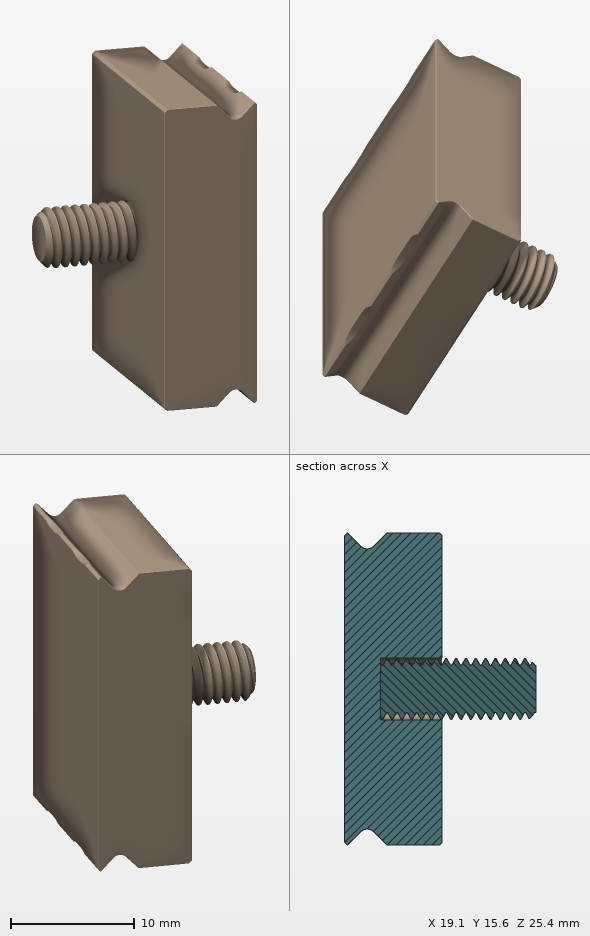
import cadquery as cq
import math

plate_width = 19.05
plate_height = 25.4
plate_thickness = 7.94
edge_chamfer = 0.24
side_chamfer = 0.05

groove_half_width = 1.61
groove_floor_radius = 0.75
groove_center_y = plate_thickness - edge_chamfer - groove_half_width

scallop_spacing = 7.85
scallop_flat = 1.33
scallop_depth = 0.42
scallop_radius = 2.84
scallop_reach = math.sqrt(scallop_radius**2 - (scallop_radius - scallop_depth) ** 2)

thread_diameter = 5.0
thread_pitch = 0.8
thread_depth = 0.55
crest_width = thread_pitch / 8
root_flat = thread_pitch / 8
first_crest = 0.13
stud_length = 7.62
stud_tip_diameter = 3.75
hole_depth = thread_diameter
major_radius = thread_diameter / 2
minor_radius = major_radius - thread_depth
tip_radius = stud_tip_diameter / 2


def v_groove():
    """Groove cutter along X at the top edge, with a rounded floor."""
    floor_z = plate_height / 2 - groove_half_width
    top_z = plate_height / 2 + groove_half_width
    cutter = (
        cq.Workplane("YZ")
        .moveTo(groove_center_y, floor_z)
        .lineTo(groove_center_y + 2 * groove_half_width, top_z)
        .lineTo(groove_center_y - 2 * groove_half_width, top_z)
        .close()
        .extrude(plate_width / 2, both=True)
    )
    return cutter.edges("<Z").fillet(groove_floor_radius)


def scallop(center_x):
    """Scallop cutter along Y through the top ridge, tangent to its flat floor."""
    floor_z = plate_height / 2 - scallop_depth
    flat_end = scallop_flat / 2
    arc_angle = math.asin(scallop_reach / scallop_radius) / 2
    mid_x = flat_end + scallop_radius * math.sin(arc_angle)
    mid_z = floor_z + scallop_radius * (1 - math.cos(arc_angle))
    end_x = flat_end + scallop_reach
    top_z = plate_height / 2
    return (
        cq.Workplane("XZ", origin=(center_x, plate_thickness, 0))
        .moveTo(-flat_end, floor_z)
        .lineTo(flat_end, floor_z)
        .threePointArc((mid_x, mid_z), (end_x, top_z))
        .lineTo(-end_x, top_z)
        .threePointArc((-mid_x, mid_z), (-flat_end, floor_z))
        .close()
        .extrude(plate_thickness - groove_center_y)
    )


def make_plate():
    """Plate with chamfered edges, two grooves, ridge scallops and the blind stud hole."""
    plate = (
        cq.Workplane("XY")
        .box(plate_width, plate_thickness, plate_height)
        .translate((0, plate_thickness / 2, 0))
        .edges("|X")
        .chamfer(edge_chamfer)
    )
    edge_cutters = [v_groove()]
    for side in (-1, 1):
        edge_cutters.append(scallop(side * scallop_spacing / 2))
    for cutter in edge_cutters:
        plate = plate.cut(cutter).cut(cutter.mirror("XY"))
    plate = plate.faces("<X or >X").chamfer(side_chamfer)
    stud_hole = cq.Workplane("XZ").circle(major_radius).extrude(-hole_depth)
    return plate.cut(stud_hole)


def thread_groove():
    """Helical groove cutter around +Z, running past both ends of the thread."""
    crest_clearance = 0.05
    root_half_width = root_flat / 2
    flank_slope = (thread_pitch - crest_width - root_flat) / 2 / thread_depth
    outer_half_width = root_half_width + flank_slope * (thread_depth + crest_clearance)
    outer_radius = major_radius + crest_clearance
    turns_below_face = math.ceil(hole_depth / thread_pitch) + 1.5
    turns_above_face = math.ceil(stud_length / thread_pitch) + 1
    start_z = first_crest - turns_below_face * thread_pitch
    helix_height = (turns_below_face + turns_above_face) * thread_pitch
    helix = cq.Wire.makeHelix(thread_pitch, helix_height, minor_radius)
    return (
        cq.Workplane("XZ")
        .moveTo(minor_radius, -root_half_width)
        .lineTo(outer_radius, -outer_half_width)
        .lineTo(outer_radius, outer_half_width)
        .lineTo(minor_radius, root_half_width)
        .close()
        .sweep(cq.Workplane(helix), isFrenet=True)
        .translate((0, 0, start_z))
    )


def tip_bevel():
    """Ring cutter that leaves a 45 degree cone at the stud tip."""
    clear_radius = major_radius + thread_depth
    bevel_size = clear_radius - tip_radius
    return (
        cq.Workplane("XZ")
        .moveTo(tip_radius, stud_length)
        .lineTo(clear_radius, stud_length)
        .lineTo(clear_radius, stud_length - bevel_size)
        .close()
        .revolve(360, (0, 0), (0, 1))
    )


def make_stud():
    """Stud built along +Z, then turned to point toward -Y."""
    rod_length = hole_depth + stud_length
    rod = cq.Workplane("XY", origin=(0, 0, -hole_depth)).circle(major_radius).extrude(rod_length)
    rod = rod.rotate((0, 0, 0), (0, 0, 1), 180)
    threaded = rod.cut(thread_groove()).cut(tip_bevel())
    return threaded.rotate((0, 0, 0), (1, 0, 0), 90)


plate = make_plate()
stud = make_stud()

result = cq.Compound.makeCompound([plate.solids().val(), stud.solids().val()])